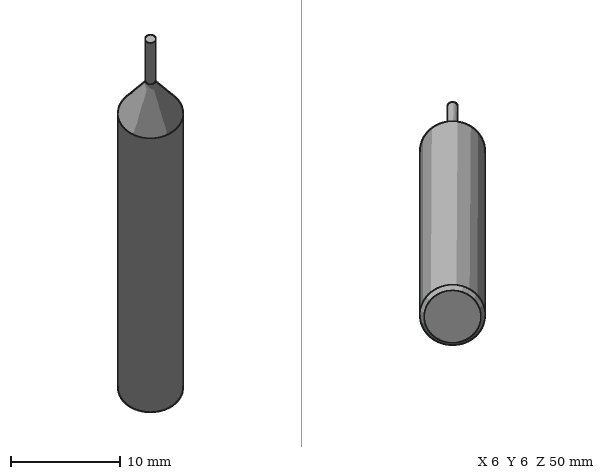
import cadquery as cq
import math

total_length = 50.0
shank_radius = 6.0 / 2
shank_chamfer = 0.4

pin_radius = 1.0 / 2
pin_length = 5.9

neck_radius = 0.95 / 2
flare_radius = 1.2
cone_half_angle = math.radians(30)

pin_base_z = total_length - pin_length
flare_end_z = pin_base_z - flare_radius * math.sin(cone_half_angle)
flare_end_radius = neck_radius + flare_radius * (1 - math.cos(cone_half_angle))
cone_base_z = flare_end_z - (shank_radius - flare_end_radius) / math.tan(cone_half_angle)

flare_mid_angle = cone_half_angle / 2
flare_mid_z = pin_base_z - flare_radius * math.sin(flare_mid_angle)
flare_mid_radius = neck_radius + flare_radius * (1 - math.cos(flare_mid_angle))


def half_profile():
    """Closed half section in the XZ plane, from the axis outward."""
    return (
        cq.Workplane("XZ")
        .lineTo(shank_radius - shank_chamfer, 0)
        .lineTo(shank_radius, shank_chamfer)
        .lineTo(shank_radius, cone_base_z)
        .lineTo(flare_end_radius, flare_end_z)
        .threePointArc((flare_mid_radius, flare_mid_z), (neck_radius, pin_base_z))
        .lineTo(pin_radius, pin_base_z)
        .lineTo(pin_radius, total_length)
        .lineTo(0, total_length)
        .close()
    )


result = half_profile().revolve(360, (0, 0, 0), (0, 1, 0))